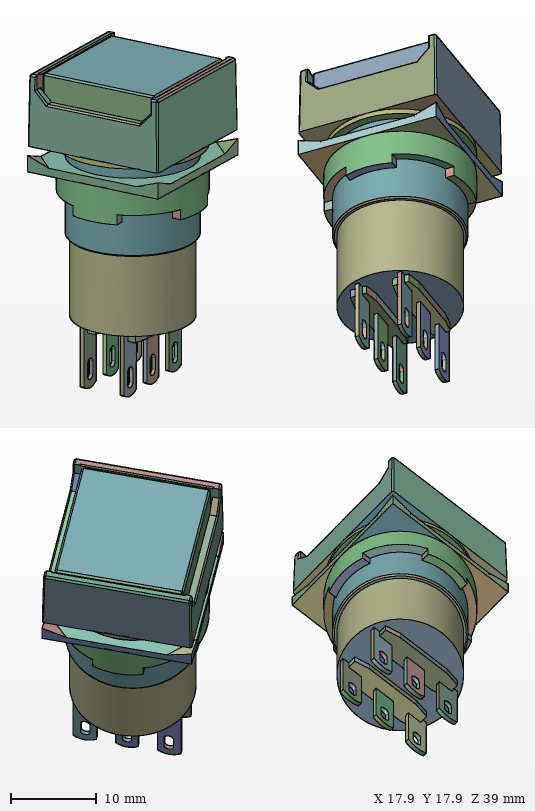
import cadquery as cq
import math

overall_width = 17.9
overall_height = 39.0

seat_bottom = 7.0
barrel_bottom = 8.05
shoulder_bottom = 18.1
ring_bottom = 22.4
notch_top = 23.65
plate_bottom = 26.87
plate_top = 27.9
plate_corner_top = 28.9
collar_bottom = 29.4
bezel_bottom = 30.05

barrel_radius = 7.4
shaft_radius = 7.9
collar_radius = overall_width / 2
shoulder_chamfer = 0.2

bezel_top_width = 17.63
bezel_corner_chamfer = 0.2
bezel_top_chamfer = 0.25
bezel_chamfer = 0.15
pocket_width = 15.68
pocket_floor = 33.15

notch_floor = 35.7
notch_corner = 1.52

button_width = 15.4
button_chamfer = 0.25

ring_radius = overall_width / 2
tab_width = 6.0
corner_leg = 2.95

column_spacing = 5.5
terminal_columns = (-column_spacing / 2, column_spacing / 2)
terminal_rows = (-1, 0, 1)
terminal_thickness = 0.5
terminal_width = 2.7
outer_terminal_extra = 0.1
terminal_pitch = 5.0
terminal_tip_rise = 0.5
slot_width = 1.15
slot_length = 2.57
slot_middle = 2.35

seat_width = 2.85
seat_length = 11.15
seat_end_width = 2.1
seat_flat_length = 7.25


def square_block(width, bottom, top):
    return cq.Workplane("XY").workplane(offset=bottom).rect(width, width).extrude(top - bottom)


def cylinder(radius, bottom, top):
    return cq.Workplane("XY").workplane(offset=bottom).circle(radius).extrude(top - bottom)


def finger_notch(grow):
    """Trapezoid running through the bezel along Y, enlarged on every side by `grow`."""
    half = pocket_width / 2 + grow
    floor = notch_floor - grow
    corner = notch_corner + grow * (2 - math.sqrt(2))
    return [
        (-half, overall_height),
        (-half, floor + corner),
        (-half + corner, floor),
        (half - corner, floor),
        (half, floor + corner),
        (half, overall_height),
    ]


def make_bezel():
    bezel = (
        cq.Workplane("XY").workplane(offset=bezel_bottom)
        .rect(overall_width, overall_width)
        .workplane(offset=overall_height - bezel_bottom)
        .rect(bezel_top_width, bezel_top_width)
        .loft(ruled=True)
    )
    bezel = bezel.edges("not(|X or |Y)").chamfer(bezel_corner_chamfer)
    bezel = bezel.faces(">Z").chamfer(bezel_top_chamfer)

    pocket = square_block(pocket_width, pocket_floor, overall_height)
    pocket_rim = (
        cq.Workplane("XY").workplane(offset=overall_height - bezel_chamfer)
        .rect(pocket_width, pocket_width)
        .workplane(offset=bezel_chamfer)
        .rect(pocket_width + 2 * bezel_chamfer, pocket_width + 2 * bezel_chamfer)
        .loft(ruled=True)
    )
    notch = (
        cq.Workplane("XZ").polyline(finger_notch(0)).close()
        .extrude(overall_width, both=True)
    )
    bezel = bezel.cut(pocket).cut(pocket_rim).cut(notch)

    rim_depth = bezel_chamfer + (overall_width - bezel_top_width) / 2
    for side in (-1, 1):
        outer_face = side * overall_width / 2
        rim = (
            cq.Workplane("XZ", origin=(0, outer_face - side * rim_depth, 0))
            .polyline(finger_notch(0)).close()
            .workplane(offset=-side * rim_depth)
            .polyline(finger_notch(rim_depth)).close()
            .loft(ruled=True)
        )
        bezel = bezel.cut(rim)
    return bezel


def make_terminal(column, row):
    """Slotted blade with a rounded tip, its +X face at `column`; `row` is -1, 0 or 1 along Y."""
    middle = row * terminal_pitch
    left = middle - terminal_width / 2 - (outer_terminal_extra if row < 0 else 0)
    right = middle + terminal_width / 2 + (outer_terminal_extra if row > 0 else 0)
    blade = (
        cq.Workplane("YZ", origin=(column, 0, 0))
        .moveTo(left, barrel_bottom)
        .lineTo(left, terminal_tip_rise)
        .threePointArc(((left + right) / 2, 0), (right, terminal_tip_rise))
        .lineTo(right, barrel_bottom)
        .close()
        .extrude(-terminal_thickness)
    )
    slot = (
        cq.Workplane("YZ", origin=(column, 0, 0))
        .center(middle, slot_middle)
        .slot2D(slot_length, slot_width, 90)
        .extrude(-terminal_thickness)
    )
    return blade.cut(slot)


def make_seat(column):
    """Raised pad, narrowed towards both ends, around one column of terminals."""
    outline = [
        (-seat_width / 2, -seat_flat_length / 2),
        (-seat_end_width / 2, -seat_length / 2),
        (seat_end_width / 2, -seat_length / 2),
        (seat_width / 2, -seat_flat_length / 2),
        (seat_width / 2, seat_flat_length / 2),
        (seat_end_width / 2, seat_length / 2),
        (-seat_end_width / 2, seat_length / 2),
        (-seat_width / 2, seat_flat_length / 2),
    ]
    return (
        cq.Workplane("XY", origin=(column, 0, seat_bottom))
        .polyline(outline).close()
        .extrude(barrel_bottom - seat_bottom)
    )


def make_housing():
    shaft = cylinder(shaft_radius, shoulder_bottom, collar_bottom)
    shaft = shaft.faces("<Z").chamfer(shoulder_chamfer)
    housing = (
        make_bezel()
        .union(cylinder(collar_radius, collar_bottom, bezel_bottom))
        .union(shaft)
        .union(cylinder(barrel_radius, barrel_bottom, shoulder_bottom))
    )
    for column in terminal_columns:
        housing = housing.union(make_seat(column))
        for row in terminal_rows:
            housing = housing.union(make_terminal(column, row))
    return housing


def make_button():
    button = square_block(button_width, pocket_floor, overall_height)
    button = button.edges("|Z").chamfer(button_chamfer)
    return button.faces(">Z").chamfer(button_chamfer)


def make_ring():
    plate = square_block(overall_width, plate_bottom, plate_corner_top)

    dish_width = math.sqrt(2) * (overall_width - corner_leg)
    dish_top_width = math.sqrt(2) * overall_width
    dish = (
        cq.Workplane("XY").workplane(offset=plate_top)
        .rect(dish_width, dish_width)
        .workplane(offset=plate_corner_top - plate_top)
        .rect(dish_top_width, dish_top_width)
        .loft(ruled=True)
        .rotate((0, 0, 0), (0, 0, 1), 45)
    )

    sleeve = cylinder(ring_radius, notch_top, plate_bottom)
    tab_ring = cylinder(ring_radius, ring_bottom, notch_top)
    tab_height = notch_top - ring_bottom
    tab_middle = ring_bottom + tab_height / 2
    tab_bars = (
        cq.Workplane("XY", origin=(0, 0, tab_middle))
        .box(overall_width, tab_width, tab_height)
        .union(
            cq.Workplane("XY", origin=(0, 0, tab_middle))
            .box(tab_width, overall_width, tab_height)
        )
    )
    bore = cylinder(shaft_radius, ring_bottom, plate_corner_top)
    return plate.cut(dish).union(sleeve).union(tab_ring.intersect(tab_bars)).cut(bore)


housing = make_housing()
button = make_button()
ring = make_ring()
result = cq.Compound.makeCompound([housing.val(), button.val(), ring.val()])